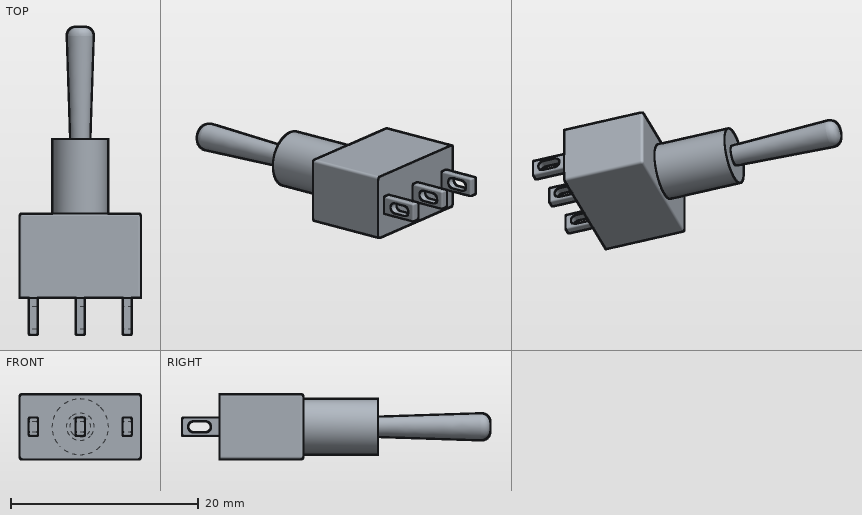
import cadquery as cq

total_length = 33.0

body_width = 13.0
body_height = 7.0
body_depth = 9.0
body_round = 0.3

bushing_diameter = 6.0
bushing_length = 8.0

terminal_count = 3
terminal_pitch = 5.0
terminal_width = 1.0
terminal_height = 2.0
terminal_length = 4.0
terminal_round = 0.2
slot_length = 2.4
slot_height = 1.15
slot_center = 2.1

lever_base_diameter = 2.2
lever_tip_diameter = 3.0
lever_tip_round = 1.0
lever_length = total_length - terminal_length - body_depth - bushing_length

bushing_end = body_depth + bushing_length


def facing_plus_y(y):
    """Workplane at the given Y, pointing along +Y, with local x along Z and local y along X."""
    return cq.Workplane("ZX", origin=(0, y, 0))


def make_body():
    block = facing_plus_y(0).rect(body_height, body_width).extrude(body_depth)
    return block.edges("|Y or >Y").fillet(body_round)


def make_bushing():
    return facing_plus_y(body_depth).circle(bushing_diameter / 2).extrude(bushing_length)


def make_lever():
    """Lever that widens towards its rounded tip."""
    cone = (
        facing_plus_y(bushing_end)
        .circle(lever_base_diameter / 2)
        .workplane(offset=lever_length)
        .circle(lever_tip_diameter / 2)
        .loft()
    )
    return cone.edges(">Y").fillet(lever_tip_round)


def make_terminal(x):
    """Rounded blade with a wiring slot through it along X."""
    blade = facing_plus_y(-terminal_length).rect(terminal_height, terminal_width).extrude(terminal_length)
    blade = blade.edges("|Y or <Y").fillet(terminal_round)
    slot = (
        cq.Workplane("YZ")
        .center(-slot_center, 0)
        .slot2D(slot_length, slot_height)
        .extrude(terminal_width, both=True)
    )
    return blade.cut(slot).translate((x, 0, 0))


result = make_body().union(make_bushing()).union(make_lever())
for index in range(terminal_count):
    terminal_x = (index - (terminal_count - 1) / 2) * terminal_pitch
    result = result.union(make_terminal(terminal_x))